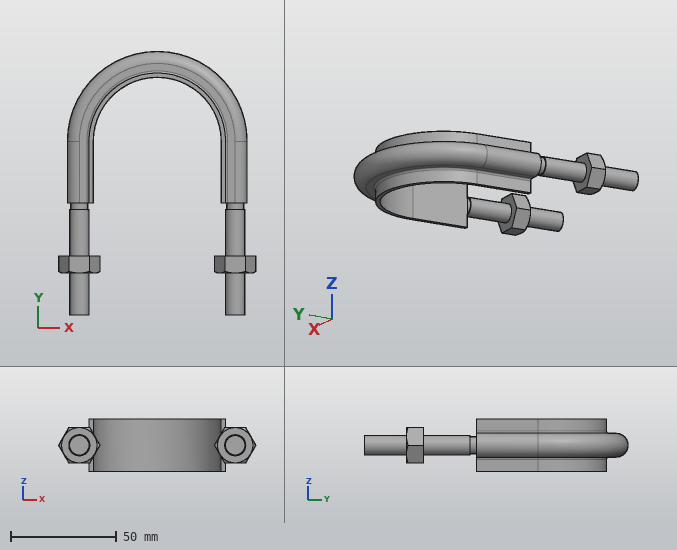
import cadquery as cq
import math

overall_length = 125.1
leg_spacing = 73.9
leg_x = leg_spacing / 2

neck_diameter = 8.3
thread_diameter = 9.3
neck_end_y = -32.4

band_width = 25.0
band_inner_radius = 30.3
band_thickness = 2.1
rib_diameter = 11.4
rib_fillet = 1.0
sleeve_end_y = -29.3

nut_across_flats = 17.0
nut_thickness = 8.3
nut_back_y = -54.3
nut_face_diameter = 16.8
nut_chamfer_angle = 30.0
countersink_diameter = 10.0

band_outer_radius = band_inner_radius + band_thickness
rib_radius = rib_diameter / 2
rod_end_y = leg_x + rib_radius - overall_length
nut_corner_radius = nut_across_flats / 2 / math.cos(math.pi / 6)


def bend_and_legs(draw_section, end_y):
    """Turn a drawn section in the XZ plane half way round Z and extend both ends to end_y."""
    bend = draw_section().revolve(180, (0, 0, 0), (0, 1, 0))
    leg = draw_section().extrude(-end_y)
    return bend.union(leg).union(leg.mirror("YZ"))


def sleeve_section():
    """Band and rib outline at the +X leg."""
    half_width = band_width / 2
    fillet_top = rib_radius + rib_fillet
    fillet_end_x = band_outer_radius + rib_fillet
    fillet_mid = rib_fillet * (1 - math.sqrt(0.5))
    return (
        cq.Workplane("XZ")
        .moveTo(band_inner_radius, -half_width)
        .lineTo(band_outer_radius, -half_width)
        .lineTo(band_outer_radius, -fillet_top)
        .threePointArc(
            (band_outer_radius + fillet_mid, -rib_radius - fillet_mid),
            (fillet_end_x, -rib_radius),
        )
        .lineTo(leg_x, -rib_radius)
        .threePointArc((leg_x + rib_radius, 0), (leg_x, rib_radius))
        .lineTo(fillet_end_x, rib_radius)
        .threePointArc(
            (band_outer_radius + fillet_mid, rib_radius + fillet_mid),
            (band_outer_radius, fillet_top),
        )
        .lineTo(band_outer_radius, half_width)
        .lineTo(band_inner_radius, half_width)
        .close()
    )


def neck_section():
    """Unthreaded rod circle at the +X leg."""
    return cq.Workplane("XZ").moveTo(leg_x, 0).circle(neck_diameter / 2)


def rod_core(end_y):
    """The U of neck diameter, with legs down to end_y."""
    return bend_and_legs(neck_section, end_y)


def make_sleeve():
    return bend_and_legs(sleeve_section, sleeve_end_y).cut(rod_core(sleeve_end_y))


def make_u_bolt():
    threads = (
        cq.Workplane("XZ", origin=(0, neck_end_y, 0))
        .pushPoints([(-leg_x, 0), (leg_x, 0)])
        .circle(thread_diameter / 2)
        .extrude(neck_end_y - rod_end_y)
    )
    return rod_core(neck_end_y).union(threads)


def make_nut(center_x):
    hexagon = (
        cq.Workplane("XZ", origin=(center_x, nut_back_y, 0))
        .polygon(6, 2 * nut_corner_radius)
        .extrude(nut_thickness)
    )
    face_radius = nut_face_diameter / 2
    bore_radius = thread_diameter / 2
    sink_radius = countersink_diameter / 2
    face_y = nut_back_y - nut_thickness
    chamfer_depth = (nut_corner_radius - face_radius) * math.tan(math.radians(nut_chamfer_angle))
    countersink_depth = sink_radius - bore_radius
    envelope = (
        cq.Workplane("XY", origin=(center_x, 0, 0))
        .moveTo(bore_radius, nut_back_y)
        .lineTo(nut_corner_radius, nut_back_y)
        .lineTo(nut_corner_radius, face_y + chamfer_depth)
        .lineTo(face_radius, face_y)
        .lineTo(sink_radius, face_y)
        .lineTo(bore_radius, face_y + countersink_depth)
        .close()
        .revolve(360, (0, 0, 0), (0, 1, 0))
    )
    return hexagon.intersect(envelope)


sleeve = make_sleeve()
u_bolt = make_u_bolt()
nuts = [make_nut(center_x) for center_x in (-leg_x, leg_x)]

bodies = [sleeve, u_bolt, *nuts]
result = cq.Compound.makeCompound([body.solids().val() for body in bodies])